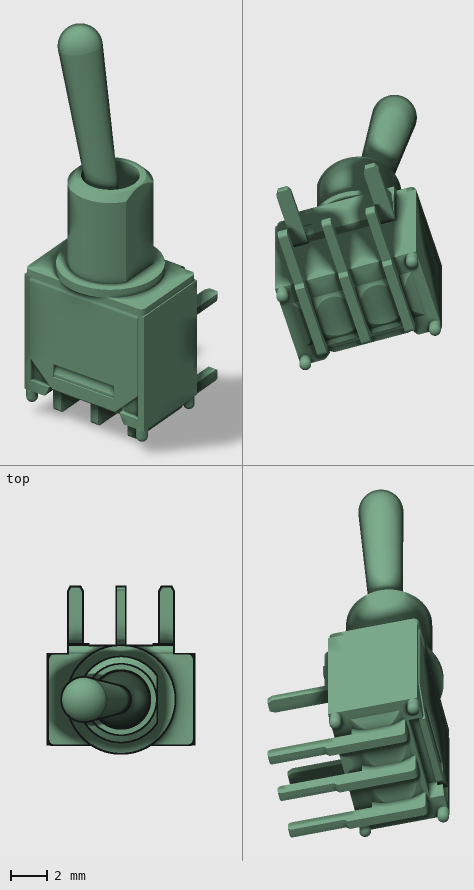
import cadquery as cq
import math


case_width = 8.13
case_depth = 5.07
case_height = 7.3
cap_width = 8.0
cap_top = 7.75
cap_corner_radius = 0.3
case_front = -case_depth / 2
case_back = case_depth / 2

panel_width = 7.3
panel_bottom = 0.65
panel_top_radius = 0.3
frame_setback = 0.05
panel_thickness = 0.35
corner_pocket_top = 2.15
panel_bottom_half_width = 2.15
mouth_height = 0.9
mouth_depth = 0.85
mouth_top_half_width = 2.33
mouth_bottom_half_width = 2.7
mouth_side_bow = 0.05
window_width = 4.13
window_bottom = 1.42
window_sill = 1.59
window_top = 2.25
window_depth = 0.4
latch_setback = 0.07

flange_diameter = 6.0
flange_thickness = 0.5
bushing_diameter = 4.75
bushing_top = 13.82
bushing_chamfer = 0.4
bushing_flat_x = 2.0
bore_diameter = 3.25

overall_height = 24.05
lever_tilt = 10.0
pivot_height = 9.71
ball_diameter = 3.17
lever_root_radius = 0.75
lever_tip_radius = 1.25

terminal_pitch = 2.52
terminal_thickness = 0.53
terminal_bottom = -1.42
terminal_front = -1.55
terminal_heel = 1.5
terminal_bend_start = 2.85
terminal_bend_end = 3.05
terminal_corner_radius = 0.25
terminal_embed = 0.25
pin_end = 6.25
pin_top = -0.5
pin_bottom = -1.2
pin_tip_radius = 0.2
foot_diameter = 0.65
foot_straight = 0.5

potting_half_length = 3.44
potting_half_depth = 1.4
potting_drop = 0.45
potting_peak = 0.35
potting_valley = 0.12
potting_edge_drop = 0.2

bracket_width = 5.87
bracket_thickness = 0.45
bracket_bottom = 3.97
bracket_bend_radius = 0.4
leg_width = 0.85
leg_tip_chamfer_width = 0.15
leg_tip_chamfer_length = 0.3
pad_width = 1.15
pad_thickness = 0.07
pad_bottom = 5.48
pad_top = 6.35


def block(x_min, x_max, y_min, y_max, z_min, z_max):
    """Box given by its limits along each axis."""
    size = (x_max - x_min, y_max - y_min, z_max - z_min)
    return cq.Workplane("XY").box(*size, centered=False).translate((x_min, y_min, z_min))


def from_front(outline_plane_y=0.0):
    """XZ sketch plane at the given Y, facing -Y."""
    return cq.Workplane(cq.Plane((0, outline_plane_y, 0), (1, 0, 0), (0, -1, 0)))


def extrude_back(outline, depth):
    """Extrude an outline drawn on a front plane toward +Y."""
    return outline.close().extrude(-depth)


def make_case():
    case = cq.Workplane("XY").rect(case_width, case_depth).extrude(case_height)
    cap = (
        cq.Workplane("XY", origin=(0, 0, case_height))
        .rect(cap_width, case_depth)
        .extrude(cap_top - case_height)
        .edges("|Z")
        .fillet(cap_corner_radius)
    )
    return case.cut(front_cuts()).union(cap)


def make_panel():
    """Front panel with its lower corners cut off and its top edge rounded."""
    half_panel = panel_width / 2
    outline = from_front(case_front).polyline([
        (-panel_bottom_half_width, panel_bottom),
        (-half_panel, corner_pocket_top),
        (-half_panel, case_height),
        (half_panel, case_height),
        (half_panel, corner_pocket_top),
        (panel_bottom_half_width, panel_bottom),
    ])
    panel = extrude_back(outline, panel_thickness)
    return panel.edges("|X and <Y and >Z").fillet(panel_top_radius)


def front_cuts():
    """Set-back frame, deep bottom corners and open mouth, all leaving the panel standing."""
    half_case = case_width / 2
    half_panel = panel_width / 2
    frame = block(-half_case, half_case, case_front, case_front + frame_setback, 0, case_height)
    recess = block(
        -half_panel, half_panel, case_front, case_front + panel_thickness, panel_bottom, case_height
    )
    mouth_middle = (mouth_top_half_width + mouth_bottom_half_width) / 2 - mouth_side_bow
    mouth = (
        from_front(case_front)
        .moveTo(-mouth_bottom_half_width, 0)
        .threePointArc((-mouth_middle, mouth_height / 2), (-mouth_top_half_width, mouth_height))
        .lineTo(mouth_top_half_width, mouth_height)
        .threePointArc((mouth_middle, mouth_height / 2), (mouth_bottom_half_width, 0))
    )
    mouth = extrude_back(mouth, mouth_depth)
    return frame.union(recess).union(mouth).cut(make_panel())


def window_cut():
    """Window with a ramped latch that slopes up and back from its sill."""
    nose = case_front + latch_setback
    return (
        cq.Workplane("YZ", origin=(-window_width / 2, 0, 0))
        .polyline([
            (case_front, window_bottom),
            (nose, window_bottom),
            (nose, window_sill),
            (case_front + window_depth, window_top),
            (case_front, window_top),
        ])
        .close()
        .extrude(window_width)
    )


def make_bushing():
    flange = cq.Workplane("XY", origin=(0, 0, cap_top)).circle(flange_diameter / 2).extrude(flange_thickness)
    flange_top = cap_top + flange_thickness
    barrel = (
        cq.Workplane("XY", origin=(0, 0, flange_top))
        .circle(bushing_diameter / 2)
        .extrude(bushing_top - flange_top)
        .faces(">Z")
        .chamfer(bushing_chamfer)
    )
    radius = bushing_diameter / 2
    barrel = barrel.cut(block(bushing_flat_x, radius, -radius, radius, flange_top, bushing_top))
    bore = (
        cq.Workplane("XY", origin=(0, 0, pivot_height))
        .circle(bore_diameter / 2)
        .extrude(bushing_top - pivot_height)
    )
    return flange.union(barrel).cut(bore)


def make_lever():
    """Ball pivot and a flared, round-ended handle leaning toward -X."""
    top = overall_height + terminal_bottom
    length = (top - lever_tip_radius - pivot_height) / math.cos(math.radians(lever_tilt))
    handle = (
        cq.Workplane("XZ")
        .lineTo(lever_root_radius, 0)
        .lineTo(lever_tip_radius, length)
        .threePointArc(
            (lever_tip_radius * math.sin(math.pi / 4), length + lever_tip_radius * math.cos(math.pi / 4)),
            (0, length + lever_tip_radius),
        )
        .close()
        .revolve(360, (0, 0, 0), (0, 1, 0))
        .rotate((0, 0, 0), (0, 1, 0), -lever_tilt)
    )
    ball = cq.Workplane("XY").sphere(ball_diameter / 2)
    return ball.union(handle).translate((0, 0, pivot_height))


def make_terminal(x):
    """Flat blade under the case with a pin reaching back."""
    blade = (
        cq.Workplane("YZ", origin=(x - terminal_thickness / 2, 0, 0))
        .polyline([
            (terminal_front, terminal_embed),
            (terminal_front, terminal_bottom),
            (terminal_bend_start, terminal_bottom),
            (terminal_bend_end, pin_bottom),
            (pin_end, pin_bottom),
            (pin_end, pin_top),
            (terminal_heel, pin_top),
            (terminal_heel, terminal_embed),
        ])
        .close()
        .extrude(terminal_thickness)
    )
    blade = blade.edges("|X and >Y").fillet(pin_tip_radius)
    return blade.edges("|X and <Y and <Z").fillet(terminal_corner_radius)


def make_foot(x, y):
    post = cq.Workplane("XY", origin=(x, y, 0)).circle(foot_diameter / 2).extrude(-foot_straight)
    tip = cq.Workplane("XY", origin=(x, y, -foot_straight)).sphere(foot_diameter / 2)
    return post.union(tip)


def make_potting():
    """Compound that climbs each terminal, domed across the depth of the case."""
    half_blade = terminal_thickness / 2
    outer_x = terminal_pitch + half_blade
    outer_mid = (potting_half_length + outer_x) / 2
    inner_x = terminal_pitch - half_blade
    half_pitch = terminal_pitch / 2
    along = (
        from_front(-potting_half_depth)
        .moveTo(-potting_half_length, 0)
        .threePointArc((-outer_mid, -potting_edge_drop), (-outer_x, -potting_peak))
        .lineTo(-inner_x, -potting_peak)
        .threePointArc((-half_pitch, -potting_valley), (-half_blade, -potting_peak))
        .lineTo(half_blade, -potting_peak)
        .threePointArc((half_pitch, -potting_valley), (inner_x, -potting_peak))
        .lineTo(outer_x, -potting_peak)
        .threePointArc((outer_mid, -potting_edge_drop), (potting_half_length, 0))
    )
    across = (
        cq.Workplane("YZ", origin=(-potting_half_length, 0, 0))
        .moveTo(-potting_half_depth, 0)
        .threePointArc((0, -potting_drop), (potting_half_depth, 0))
        .close()
        .extrude(2 * potting_half_length)
    )
    return extrude_back(along, 2 * potting_half_depth).intersect(across)


def make_bracket():
    """Rear plate with two legs bent back at its lower corners."""
    outer_y = case_back + bracket_thickness
    leg_top = bracket_bottom + bracket_thickness
    half_width = bracket_width / 2
    bracket = block(-half_width, half_width, case_back, outer_y, leg_top, cap_top)
    bracket = bracket.edges("|X and >Y and >Z").fillet(bracket_bend_radius)
    leg_centre = half_width - leg_width / 2
    pad_centre = half_width - pad_width / 2
    for side in (-1, 1):
        x = side * leg_centre
        leg = block(x - leg_width / 2, x + leg_width / 2, case_back, pin_end, bracket_bottom, leg_top)
        leg = leg.edges("|X and <Y and <Z").fillet(bracket_bend_radius)
        tip_corner = [
            (leg_width / 2, pin_end),
            (leg_width / 2, pin_end - leg_tip_chamfer_length),
            (leg_width / 2 - leg_tip_chamfer_width, pin_end),
        ]
        tip = cq.Workplane("XY").polyline(tip_corner).close().extrude(cap_top)
        tips = tip.union(tip.mirror("YZ")).translate((x, 0, 0))
        bracket = bracket.union(leg.cut(tips))
        pad_x = side * pad_centre
        bracket = bracket.union(block(
            pad_x - pad_width / 2, pad_x + pad_width / 2,
            outer_y, outer_y + pad_thickness, pad_bottom, pad_top,
        ))
    return bracket


result = make_case().cut(window_cut())
result = result.union(make_bushing()).union(make_lever())
result = result.union(make_potting())
for position in (-1, 0, 1):
    result = result.union(make_terminal(position * terminal_pitch))
foot_x = (case_width - foot_diameter) / 2
foot_y = (case_depth - foot_diameter) / 2
for x_sign in (-1, 1):
    for y_sign in (-1, 1):
        result = result.union(make_foot(x_sign * foot_x, y_sign * foot_y))
result = result.union(make_bracket())